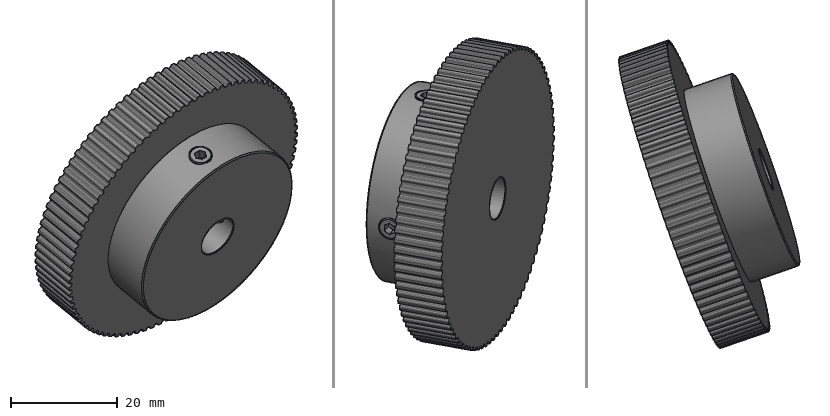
import cadquery as cq
import math

TOOTH_COUNT = 90
BELT_PITCH = 2.032
PITCH_LINE_OFFSET = 0.25
OUTER_RADIUS = TOOTH_COUNT * BELT_PITCH / (2 * math.pi) - PITCH_LINE_OFFSET

GROOVE_DEPTH = 0.64
GROOVE_FLOOR_WIDTH = 0.67
GROOVE_FLANK_ANGLE = math.radians(20)
TOOTH_TIP_RADIUS = 0.23
GROOVE_ROOT_RADIUS = 0.31
ROOT_RADIUS = OUTER_RADIUS - GROOVE_DEPTH

TOTAL_LENGTH = 19.05
RIM_LENGTH = TOTAL_LENGTH / 2
HUB_RADIUS = 19.05
HUB_CHAMFER = 0.25
BORE_RADIUS = 4.0
BORE_CHAMFER = 0.15

SCREW_X = (RIM_LENGTH + TOTAL_LENGTH) / 2
SCREW_RADIUS = 2.2
SCREW_CHAMFER = 0.25
SCREW_OUTER_END = HUB_RADIUS
SCREW_INNER_END = BORE_RADIUS
SOCKET_ACROSS_FLATS = 2.0
SOCKET_DEPTH = 2.0
SCREW_TURNS = (0, -90)


def half_groove_points():
    """One side of a groove as (radial, sideways) points, from its floor to the tooth crest.

    Start, middle and end of the root arc come first, then start, middle and end of the tip arc.
    """
    sharp_corner = cq.Vector(ROOT_RADIUS, GROOVE_FLOOR_WIDTH / 2)
    radial = cq.Vector(1, 0)
    along_flank = cq.Vector(math.cos(GROOVE_FLANK_ANGLE), math.sin(GROOVE_FLANK_ANGLE))
    into_tooth = cq.Vector(-along_flank.y, along_flank.x)

    setback = GROOVE_ROOT_RADIUS * math.tan((math.pi / 2 - GROOVE_FLANK_ANGLE) / 2)
    root_start = sharp_corner - cq.Vector(0, setback)
    root_end = sharp_corner + along_flank * setback
    root_center = root_start + radial * GROOVE_ROOT_RADIUS
    root_middle = root_center + (into_tooth - radial).normalized() * GROOVE_ROOT_RADIUS

    offset_corner = sharp_corner + into_tooth * TOOTH_TIP_RADIUS
    center_radius = OUTER_RADIUS - TOOTH_TIP_RADIUS
    projection = offset_corner.dot(along_flank)
    gap = offset_corner.dot(offset_corner) - center_radius**2
    travel = -projection + math.sqrt(projection**2 - gap)
    tip_center = offset_corner + along_flank * travel
    outward = tip_center.normalized()
    tip_start = tip_center - into_tooth * TOOTH_TIP_RADIUS
    tip_middle = tip_center + (outward - into_tooth).normalized() * TOOTH_TIP_RADIUS
    tip_end = tip_center + outward * TOOTH_TIP_RADIUS
    return [root_start, root_middle, root_end, tip_start, tip_middle, tip_end]


def place_groove_side(side, angle):
    """Points of one groove side (side is 1 or -1) for a groove at the given angle from +Y."""
    return [
        (
            point.x * math.cos(angle) - side * point.y * math.sin(angle),
            point.x * math.sin(angle) + side * point.y * math.cos(angle),
        )
        for point in half_groove_points()
    ]


def make_toothed_rim():
    """Extruded rim with a groove at +Y and at -Y, and a tooth at +Z and at -Z."""
    tooth_angle = 2 * math.pi / TOOTH_COUNT
    outline = cq.Workplane("YZ").moveTo(*place_groove_side(-1, 0)[0])
    for index in range(TOOTH_COUNT):
        angle = index * tooth_angle
        root_start, root_middle, root_end, tip_start, tip_middle, tip_end = place_groove_side(1, angle)
        outline = outline.lineTo(*root_start).threePointArc(root_middle, root_end)
        outline = outline.lineTo(*tip_start).threePointArc(tip_middle, tip_end)

        crest_angle = angle + tooth_angle / 2
        crest = (OUTER_RADIUS * math.cos(crest_angle), OUTER_RADIUS * math.sin(crest_angle))
        next_side = place_groove_side(-1, angle + tooth_angle)
        root_start, root_middle, root_end, tip_start, tip_middle, tip_end = next_side
        outline = outline.threePointArc(crest, tip_end).threePointArc(tip_middle, tip_start)
        outline = outline.lineTo(*root_end).threePointArc(root_middle, root_start)
    return outline.close().extrude(RIM_LENGTH)


def make_bore():
    """Through bore with a small chamfer at both ends, as a solid to cut away."""
    mouth_radius = BORE_RADIUS + BORE_CHAMFER
    profile = [
        (0, 0),
        (0, mouth_radius),
        (BORE_CHAMFER, BORE_RADIUS),
        (TOTAL_LENGTH - BORE_CHAMFER, BORE_RADIUS),
        (TOTAL_LENGTH, mouth_radius),
        (TOTAL_LENGTH, 0),
    ]
    return cq.Workplane("XY").polyline(profile).close().revolve(360, (0, 0), (1, 0))


def turn_to_side(body, turn):
    """Turn a body about the pulley axis."""
    return body.rotate((0, 0, 0), (1, 0, 0), turn)


def make_pulley():
    hub = cq.Workplane("YZ").circle(HUB_RADIUS).extrude(TOTAL_LENGTH).faces(">X").chamfer(HUB_CHAMFER)
    pulley = make_toothed_rim().union(hub).cut(make_bore())
    screw_hole = cq.Workplane("XY").center(SCREW_X, 0).circle(SCREW_RADIUS).extrude(HUB_RADIUS)
    for turn in SCREW_TURNS:
        pulley = pulley.cut(turn_to_side(screw_hole, turn))
    return pulley


def make_set_screw(turn):
    """Headless screw with a hexagon socket, flush with the hub and reaching down to the bore."""
    length = SCREW_OUTER_END - SCREW_INNER_END
    screw = cq.Workplane("XY", origin=(SCREW_X, 0, SCREW_INNER_END)).circle(SCREW_RADIUS).extrude(length)
    screw = screw.faces(">Z").chamfer(SCREW_CHAMFER)

    socket_across_corners = SOCKET_ACROSS_FLATS / math.cos(math.pi / 6)
    socket = (
        cq.Workplane("XY", origin=(SCREW_X, 0, SCREW_OUTER_END - SOCKET_DEPTH))
        .transformed(rotate=(0, 0, 90))
        .polygon(6, socket_across_corners)
        .extrude(SOCKET_DEPTH)
    )
    return turn_to_side(screw.cut(socket), turn)


pulley = make_pulley()
set_screws = [make_set_screw(turn) for turn in SCREW_TURNS]

result = cq.Compound.makeCompound([pulley.val(), *[screw.val() for screw in set_screws]])